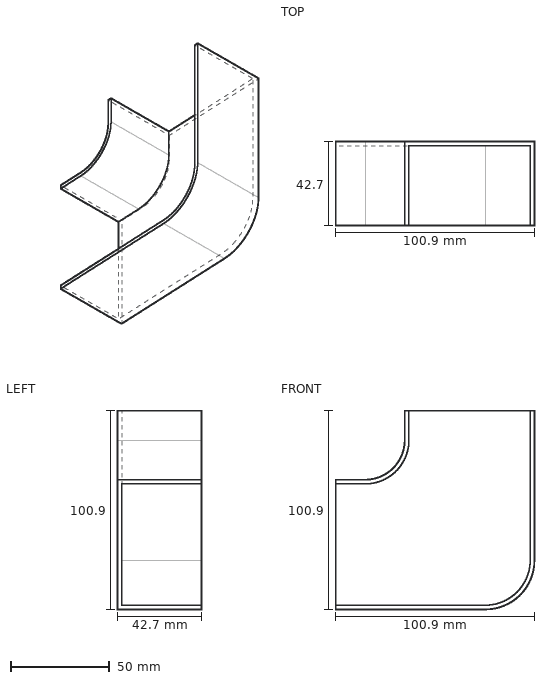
import cadquery as cq

LEG_LENGTH = 100.9
DEPTH = 42.7
CHANNEL_WIDTH = 65.9
WALL = 2.2
THROAT_RADIUS = 20.0
HEEL_RADIUS = 25.0


def elbow(inset, depth):
    """L-shaped prism, its long walls moved inward by inset; the leg ends stay in place.

    The heel corner points to +X, -Z and the prism runs from y = 0 to y = depth.
    """
    low = inset
    high = CHANNEL_WIDTH - inset
    right = LEG_LENGTH - inset
    left = LEG_LENGTH - CHANNEL_WIDTH + inset

    outline = (
        cq.Workplane("XZ")
        .moveTo(0, low)
        .lineTo(right, low)
        .lineTo(right, LEG_LENGTH)
        .lineTo(left, LEG_LENGTH)
        .lineTo(left, high)
        .lineTo(0, high)
        .close()
    )
    prism = outline.extrude(-depth)

    heel = cq.selectors.NearestToPointSelector((right, depth / 2, low))
    throat = cq.selectors.NearestToPointSelector((left, depth / 2, high))
    prism = prism.edges("|Y").edges(heel).fillet(HEEL_RADIUS - inset)
    return prism.edges("|Y").edges(throat).fillet(THROAT_RADIUS + inset)


body = elbow(0, DEPTH)
channel = elbow(WALL, DEPTH - WALL)
result = body.cut(channel)